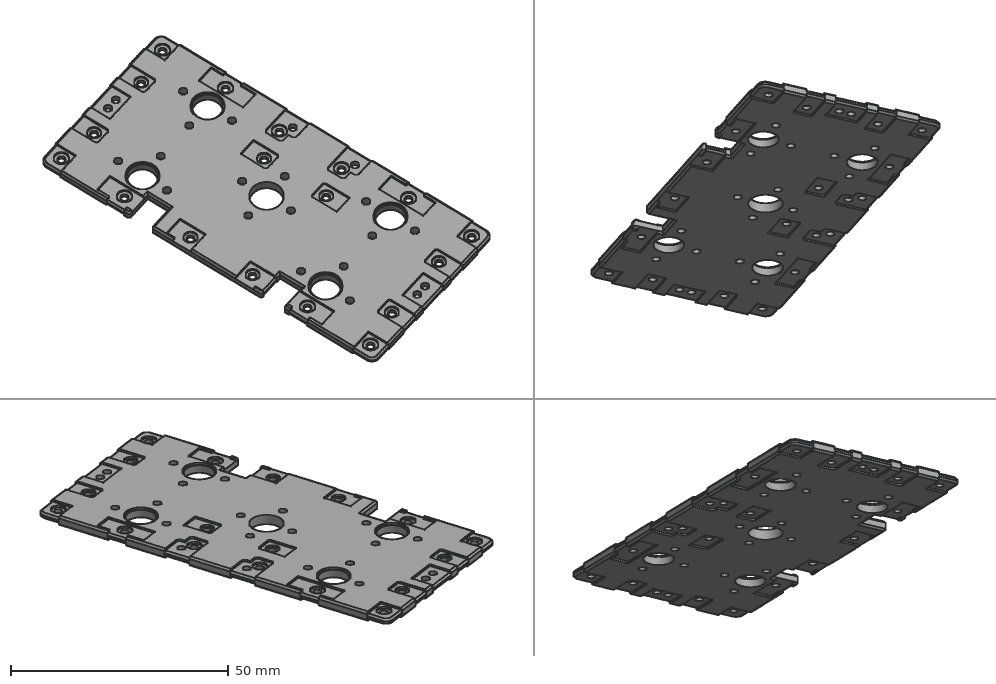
import cadquery as cq
LENGTH = 96.0
WIDTH = 46.0
THICKNESS = 2.5
LAYER = 0.5
CORE_THICKNESS = THICKNESS - 2 * LAYER
CORNER_RADIUS = 2.0
TIP_RADIUS = 0.6
RIGHT = LENGTH / 2
REAR = WIDTH / 2
FRONT = -REAR
OVERSHOOT = 1.0

NOTCH_INNER_X = 15.8
NOTCH_OUTER_X = 22.2
NOTCH_END_Y = -15.9

SMALL_HOLE = 1.9
WIDE_HEAD = 3.6
NARROW_HEAD = 3.3
MOTOR_BORE = 7.1
MOTOR_RECESS = 7.9
CENTRE_BORE = 8.0

MOTOR_X = 26.3
MOTOR_Y = 12.5
MOTOR_SCREW_OFFSET = 7.0

EDGE_POCKET_DEPTH = 6.0
EDGE_HOLE_X = 44.4
EDGE_HOLE_Y = 19.4
SIDE_POCKET_DEPTH = 7.8
SIDE_POCKET_WIDTH = 4.7
SIDE_POCKET_Y = 9.0
SIDE_HOLE_X = 42.8
POCKET_RADIUS = 0.6
PIN_POCKET_WIDTH = 8.0
PIN_HOLE_Y = 1.49

LONG_POCKET_INNER_X = 19.5
LONG_POCKET_OUTER_X = 32.3
LONG_POCKET_LIP = 1.2
MOUTH_WIDTH = 5.1

SWITCH_PITCH = 17.9
SWITCH_HOLE_X = -7.1
SWITCH_LEFT_X = -12.0
SWITCH_RIGHT_X = -4.6
SWITCH_MIRROR_X = SWITCH_HOLE_X + SWITCH_PITCH / 2
INNER_POCKET_FRONT_Y = 6.0
INNER_POCKET_REAR_Y = 11.0
INNER_HOLE_Y = (INNER_POCKET_FRONT_Y + INNER_POCKET_REAR_Y) / 2
FRONT_POCKET_REAR_Y = -17.2
FRONT_POCKET_LIP = 0.8
FRONT_MOUTH_LEFT_X = -9.8
FRONT_HOLE_Y = -19.7

STEP_LEFT_X = -11.4
STEP_CORNER_X = -6.4
STEP_Y = 17.0
STEP_FRONT_Y = 14.4
STEP_RADIUS = 0.9
STEP_SCREW_X = -9.0
STEP_PIN_Y = 19.6


def block(x1, x2, y1, y2, height=THICKNESS):
    """Box between two X and two Y positions, centred on Z = 0."""
    return cq.Workplane("XY").box(x2 - x1, y2 - y1, height).translate(((x1 + x2) / 2, (y1 + y2) / 2, 0))


def four_way(x, y):
    return [(sign_x * x, sign_y * y) for sign_x in (-1, 1) for sign_y in (-1, 1)]


def switch_pair(x, y):
    return [(x, y), (x + SWITCH_PITCH, y)]


def with_mirror(solid, plane):
    return solid.union(solid.mirror(plane))


def mirrored_switch(solid):
    """The right-hand counterpart of a left switch mount feature."""
    return solid.mirror("YZ").translate((2 * SWITCH_MIRROR_X, 0, 0))


def chamfered_plate(thickness):
    """Notched plate with both faces chamfered all round."""
    plate = cq.Workplane("XY").box(LENGTH, WIDTH, thickness).edges("|Z").fillet(CORNER_RADIUS)
    notch = block(NOTCH_INNER_X, NOTCH_OUTER_X, FRONT - OVERSHOOT, NOTCH_END_Y)
    plate = plate.cut(with_mirror(notch, "YZ"))
    notch_mouths = cq.selectors.BoxSelector(
        (-NOTCH_OUTER_X - OVERSHOOT, FRONT - OVERSHOOT, -thickness),
        (NOTCH_OUTER_X + OVERSHOOT, FRONT + OVERSHOOT, thickness),
    )
    plate = plate.edges("|Z").edges(notch_mouths).fillet(TIP_RADIUS)
    return plate.faces("|Z").edges().chamfer(LAYER)


def edge_pockets():
    """Pockets at the corners, along the short edges and beside the motors."""
    wall_x = RIGHT - EDGE_POCKET_DEPTH
    wall_y = REAR - EDGE_POCKET_DEPTH
    corner = block(wall_x, RIGHT, wall_y, REAR)
    side_front_y = SIDE_POCKET_Y - SIDE_POCKET_WIDTH / 2
    side_rear_y = SIDE_POCKET_Y + SIDE_POCKET_WIDTH / 2
    side = block(RIGHT - SIDE_POCKET_DEPTH, RIGHT, side_front_y, side_rear_y)
    side = side.edges("|Z and <X").fillet(POCKET_RADIUS)
    long_pocket = block(LONG_POCKET_INNER_X, LONG_POCKET_OUTER_X, wall_y, REAR - LONG_POCKET_LIP)
    mouth = block(MOTOR_X - MOUTH_WIDTH / 2, MOTOR_X + MOUTH_WIDTH / 2, wall_y, REAR)
    quarter = corner.union(side).union(long_pocket).union(mouth)
    pins = block(wall_x, RIGHT, -PIN_POCKET_WIDTH / 2, PIN_POCKET_WIDTH / 2)
    return with_mirror(with_mirror(quarter, "XZ").union(pins), "YZ")


def stepped_pockets():
    """L-shaped rear pockets, the same way round on both switch mounts."""
    wide_part = block(STEP_LEFT_X, SWITCH_RIGHT_X, STEP_Y, REAR)
    wide_part = wide_part.edges("|Z and >X and <Y").fillet(STEP_RADIUS)
    deep_part = block(STEP_LEFT_X, STEP_CORNER_X, STEP_FRONT_Y, REAR)
    deep_part = deep_part.edges("|Z and <Y").fillet(STEP_RADIUS)
    left = wide_part.union(deep_part)
    return left.union(left.translate((SWITCH_PITCH, 0, 0)))


def inner_pockets():
    """Closed pockets behind the plate centre, rounded on their facing ends."""
    left = block(SWITCH_LEFT_X, SWITCH_RIGHT_X, INNER_POCKET_FRONT_Y, INNER_POCKET_REAR_Y)
    left = left.edges("|Z and >X").fillet(POCKET_RADIUS)
    return left.union(mirrored_switch(left))


def front_mouths(height):
    """Openings of the front switch pockets through the front edge."""
    left = block(FRONT_MOUTH_LEFT_X, SWITCH_RIGHT_X, FRONT, FRONT_POCKET_REAR_Y, height)
    return left.union(mirrored_switch(left))


def front_pockets():
    """Front switch pockets; the right one runs out into the notch."""
    lip_y = FRONT + FRONT_POCKET_LIP
    left = block(SWITCH_LEFT_X, SWITCH_RIGHT_X, lip_y, FRONT_POCKET_REAR_Y)
    right_start_x = 2 * SWITCH_MIRROR_X - SWITCH_RIGHT_X
    right = block(right_start_x, NOTCH_INNER_X, lip_y, FRONT_POCKET_REAR_Y)
    return left.union(right).union(front_mouths(THICKNESS))


def square_floors():
    """Pocket floors that meet the plate edge without a chamfer."""
    ear = block(
        NOTCH_OUTER_X,
        LONG_POCKET_OUTER_X,
        FRONT + LONG_POCKET_LIP,
        FRONT + EDGE_POCKET_DEPTH,
        CORE_THICKNESS,
    )
    return with_mirror(ear, "YZ").union(front_mouths(CORE_THICKNESS))


def holes(points, diameter, floor_z=-THICKNESS):
    """Round cutters rising from floor_z out of the top face."""
    cutters = cq.Workplane("XY").workplane(offset=floor_z).pushPoints(points)
    return cutters.circle(diameter / 2).extrude(THICKNESS - floor_z)


pockets = edge_pockets().union(stepped_pockets()).union(inner_pockets()).union(front_pockets())
skin = chamfered_plate(THICKNESS).cut(pockets)
core = chamfered_plate(CORE_THICKNESS).union(square_floors())
plate = skin.union(core)

wide_screws = (
    four_way(EDGE_HOLE_X, EDGE_HOLE_Y)
    + four_way(MOTOR_X, EDGE_HOLE_Y)
    + switch_pair(STEP_SCREW_X, STEP_Y)
)
narrow_screws = (
    four_way(SIDE_HOLE_X, SIDE_POCKET_Y)
    + switch_pair(SWITCH_HOLE_X, INNER_HOLE_Y)
    + switch_pair(SWITCH_HOLE_X, FRONT_HOLE_Y)
)

motors = four_way(MOTOR_X, MOTOR_Y)
plain_holes = (
    four_way(MOTOR_X - MOTOR_SCREW_OFFSET, MOTOR_Y)
    + four_way(MOTOR_X + MOTOR_SCREW_OFFSET, MOTOR_Y)
    + four_way(MOTOR_X, MOTOR_Y - MOTOR_SCREW_OFFSET)
    + [(-MOTOR_SCREW_OFFSET, 0), (MOTOR_SCREW_OFFSET, 0)]
    + [(0, -MOTOR_SCREW_OFFSET), (0, MOTOR_SCREW_OFFSET)]
    + four_way(EDGE_HOLE_X, PIN_HOLE_Y)
    + switch_pair(SWITCH_HOLE_X, STEP_PIN_Y)
)

screw_seat_z = CORE_THICKNESS / 2 - LAYER
motor_seat_z = THICKNESS / 2 - LAYER

result = (
    plate.cut(holes(wide_screws + narrow_screws + plain_holes, SMALL_HOLE))
    .cut(holes(wide_screws, WIDE_HEAD, screw_seat_z))
    .cut(holes(narrow_screws, NARROW_HEAD, screw_seat_z))
    .cut(holes(motors, MOTOR_BORE))
    .cut(holes(motors, MOTOR_RECESS, motor_seat_z))
    .cut(holes([(0, 0)], CENTRE_BORE))
)